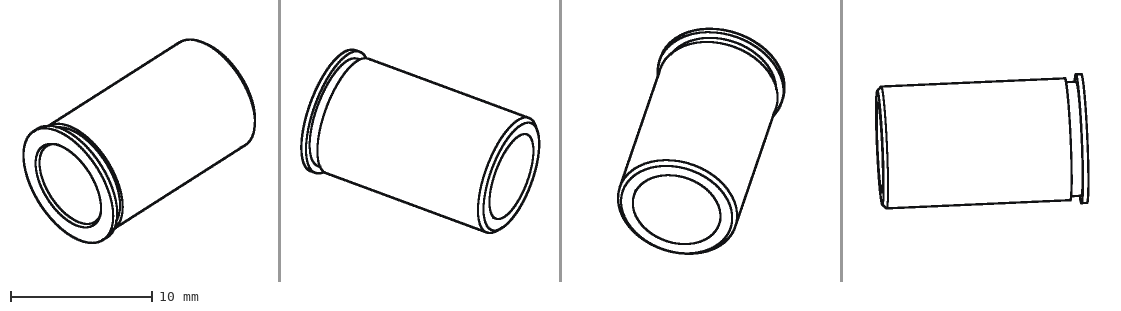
import cadquery as cq

length = 14.48
flange_diameter = 9.14
flange_thickness = 0.39
groove_diameter = 8.1
groove_width = 0.78
body_diameter = 8.65
bore_diameter = 6.35

body_chamfer = 0.29
mouth_chamfer_radial = 0.15
mouth_chamfer_axial = 0.25


def disc(diameter, start, end):
    """Solid cylinder along +Y between two axial positions."""
    return cq.Workplane("XZ", origin=(0, start, 0)).circle(diameter / 2).extrude(start - end)


groove_end = flange_thickness + groove_width

flange = disc(flange_diameter, 0, flange_thickness)
groove_floor = disc(groove_diameter, flange_thickness, groove_end)
body = disc(body_diameter, groove_end, length).faces(">Y").edges().chamfer(body_chamfer)
bore = disc(bore_diameter, 0, length)

sleeve = flange.union(groove_floor).union(body).cut(bore)

bore_radius = bore_diameter / 2
lead_in = (
    cq.Workplane("XY")
    .polyline([
        (0, 0),
        (bore_radius + mouth_chamfer_radial, 0),
        (bore_radius, mouth_chamfer_axial),
        (0, mouth_chamfer_axial),
    ])
    .close()
    .revolve(360, (0, 0, 0), (0, 1, 0))
)

result = sleeve.cut(lead_in)